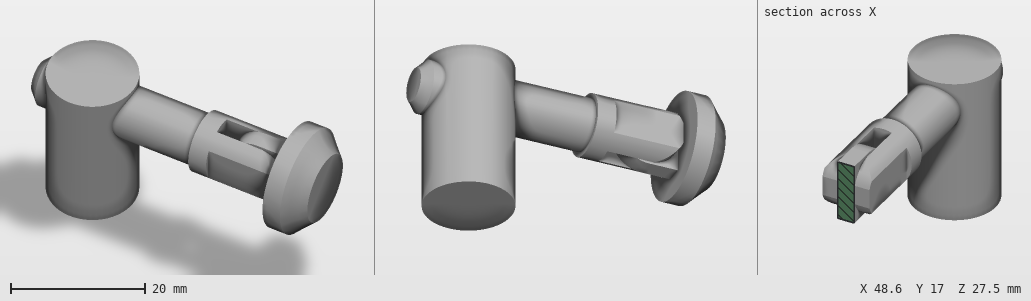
import cadquery as cq


post_diameter = 14.0
post_height = 24.0
post_top = 5.0

rod_diameter = 8.3
rod_start = -9.0
rod_chamfer = 1.5
collar_diameter = 9.8
collar_length = 3.0
collar_start = 19.0

fork_start = collar_start + collar_length
fork_length = 11.35
fork_width = 8.0
fork_round_radius = 4.7
slot_width = 3.0
pin_diameter = 4.0

pad_diameter = 17
pad_thickness = 6.0
pad_chamfer = 3.0
overall_length = 48.6
tongue_thickness = 2.8
tongue_height = 10.0

fork_end = fork_start + fork_length
pad_end = rod_start + overall_length
pad_start = pad_end - pad_thickness
pin_x = 28.95


def rod_cylinder(diameter, start, length):
    """Cylinder along the rod axis, starting at X = start."""
    return cq.Workplane("YZ", origin=(start, 0, 0)).circle(diameter / 2).extrude(length)


def cross_cylinder(diameter, length):
    """Cylinder along Y, centred on the hinge pin axis."""
    return cq.Workplane("XZ", origin=(pin_x, 0, 0)).circle(diameter / 2).extrude(length / 2, both=True)


def block(start, end, width, height):
    """Box from X = start to X = end, centred on the rod axis."""
    length = end - start
    return cq.Workplane("XY", origin=((start + end) / 2, 0, 0)).box(length, width, height)


def make_fork():
    """Slotted fork with side flats, a rounded tip and a pin hole."""
    fork = rod_cylinder(collar_diameter, fork_start, fork_length)
    tip_outline = block(fork_start, pin_x, fork_width, collar_diameter)
    tip_outline = tip_outline.union(cross_cylinder(2 * fork_round_radius, fork_width))
    slot = block(fork_start, fork_end, slot_width, collar_diameter)
    return fork.intersect(tip_outline).cut(slot).cut(cross_cylinder(pin_diameter, fork_width))


def make_handle():
    """Post crossed by a rod that ends in a collar and a fork."""
    post = cq.Workplane("XY", origin=(0, 0, post_top)).circle(post_diameter / 2).extrude(-post_height)
    rod = rod_cylinder(rod_diameter, rod_start, collar_start - rod_start)
    rod = rod.faces("<X").chamfer(rod_chamfer)
    collar = rod_cylinder(collar_diameter, collar_start, collar_length)
    return post.union(rod).union(collar).union(make_fork())


def make_pad():
    """Chamfered disc with a round-ended tongue and its hinge pin."""
    disc = rod_cylinder(pad_diameter, pad_start, pad_thickness).faces(">X").chamfer(pad_chamfer)
    tongue = block(pin_x, pad_start, tongue_thickness, tongue_height)
    tongue = tongue.union(cross_cylinder(tongue_height, tongue_thickness))
    pin = cross_cylinder(pin_diameter, fork_width)
    return disc.union(tongue).union(pin)


handle = make_handle()
pad = make_pad()
result = cq.Compound.makeCompound([handle.val(), pad.val()])